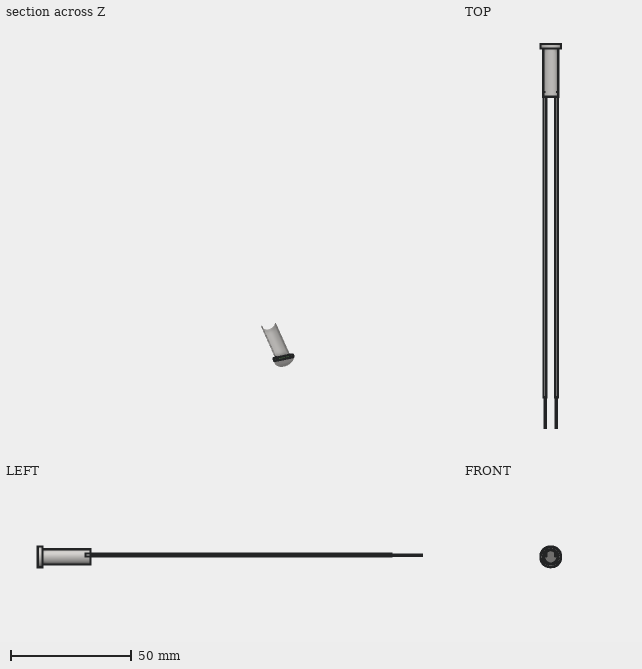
import cadquery as cq

overall_length = 159.57
flange_diameter = 8.64
flange_thickness = 2.03
tube_diameter = 6.35
tube_wall = 0.38
housing_length = 22.0
bore_diameter = tube_diameter - 2 * tube_wall

wire_spacing = 4.75
wire_height = 0.72
insulation_diameter = 1.3
conductor_diameter = 0.64
stripped_length = 12.7
seat_depth = 2.03

y_front = overall_length / 2
y_flange_back = y_front - flange_thickness
y_tube_end = y_front - housing_length
y_wire_end = y_tube_end + seat_depth
y_conductor_tip = -overall_length / 2
y_insulation_tip = y_conductor_tip + stripped_length

wire_positions = (-wire_spacing / 2, wire_spacing / 2)


def cylinder(diameter, y_start, y_end, x=0, z=0):
    """Solid cylinder along Y between two stations."""
    plane = cq.Plane(origin=(x, y_start, z), xDir=(1, 0, 0), normal=(0, 1, 0))
    return cq.Workplane(plane).circle(diameter / 2).extrude(y_end - y_start)


def make_housing():
    """Flanged tube, bored through, with a groove in the bore wall for each wire."""
    flange = cylinder(flange_diameter, y_flange_back, y_front)
    tube = cylinder(tube_diameter, y_tube_end, y_front)
    housing = flange.union(tube).cut(cylinder(bore_diameter, y_tube_end, y_front))
    for x in wire_positions:
        housing = housing.cut(cylinder(insulation_diameter, y_tube_end, y_wire_end, x, wire_height))
    return housing


def make_lens():
    """Plug that closes the bore at the flange, flush with the front face."""
    return cylinder(bore_diameter, y_flange_back, y_front)


def make_conductor(x):
    """Bare wire that runs through the insulation and sticks out at the -Y end."""
    return cylinder(conductor_diameter, y_conductor_tip, y_wire_end, x, wire_height)


def make_insulation(x):
    """Sleeve around the conductor, seated in the housing groove."""
    sleeve = cylinder(insulation_diameter, y_insulation_tip, y_wire_end, x, wire_height)
    return sleeve.cut(make_conductor(x))


bodies = [make_housing().val(), make_lens().val()]
for wire_x in wire_positions:
    bodies.append(make_conductor(wire_x).val())
    bodies.append(make_insulation(wire_x).val())

result = cq.Compound.makeCompound(bodies)